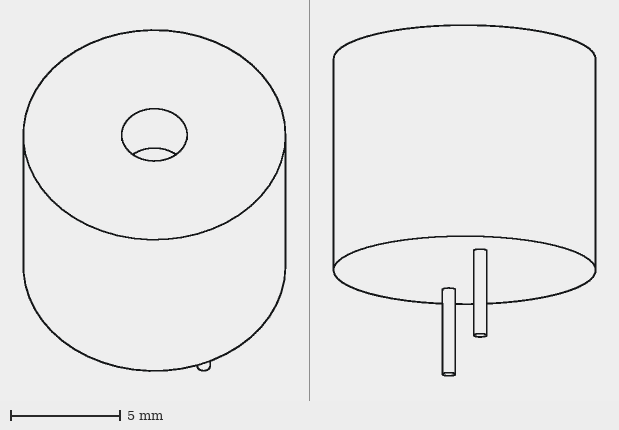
import cadquery as cq

overall_height = 14.0
body_diameter = 12.0
pin_length = 4.0
pin_diameter = 0.6
pin_spacing = 7.0
hole_diameter = 3.0
hole_depth = hole_diameter

body_height = overall_height - pin_length


def make_body():
    """Cylindrical housing standing on the XY plane."""
    return cq.Workplane("XY").circle(body_diameter / 2).extrude(body_height)


def make_sound_hole():
    """Blind round hole sunk into the middle of the top face."""
    return (
        cq.Workplane("XY")
        .workplane(offset=body_height - hole_depth)
        .circle(hole_diameter / 2)
        .extrude(hole_depth)
    )


def make_pins():
    """Two round pins hanging below the housing, spaced along X."""
    return (
        cq.Workplane("XY")
        .pushPoints([(-pin_spacing / 2, 0), (pin_spacing / 2, 0)])
        .circle(pin_diameter / 2)
        .extrude(-pin_length)
    )


result = make_body().cut(make_sound_hole()).union(make_pins())